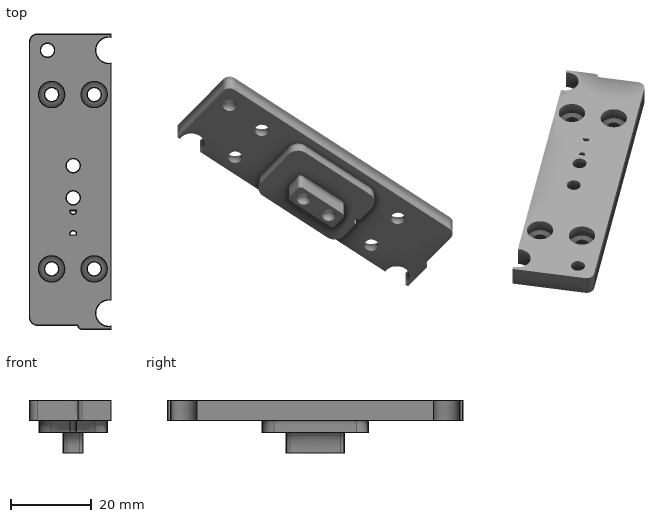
import cadquery as cq

plate_width = 20.2
plate_length = 73.1
plate_thickness = 5.0
plate_corner_radius = 2.0
middle_y = plate_length / 2

front_step = 1.0
step_x = 12.0

notch_diameter = 6.5
notch_center_x = 19.7
notch_inset_y = 4.0

hole_diameter = 3.4
counterbore_diameter = 6.5
counterbore_depth = 3.0
screw_columns = (5.5, 16.0)
screw_inset_y = 15.0
corner_hole_x = 4.45

overall_height = 13.0
stack_x = 10.8
pad_width = 16.9
pad_length = 26.3
pad_thickness = 3.0
pad_corner_radius = 3.0
key_width = 5.0
key_length = 14.4
key_height = overall_height - plate_thickness - pad_thickness
key_corner_radius = 0.95
key_hole_spacing = 8.0

slot_width = 1.6
slot_depth = 1.0
rear_slot_flat_y = 29.5
front_slot_flat_y = middle_y - pad_length / 2


def make_plate():
    """Plate with a stepped front edge and rounded left corners."""
    body = (
        cq.Workplane("XY")
        .moveTo(0, front_step)
        .lineTo(step_x, front_step)
        .radiusArc((step_x + front_step, 0), -front_step)
        .lineTo(plate_width, 0)
        .lineTo(plate_width, plate_length)
        .lineTo(0, plate_length)
        .close()
        .extrude(plate_thickness)
    )
    return body.edges("|Z and <X").fillet(plate_corner_radius)


def make_block(width, length, height, top_z, corner_radius):
    """Rounded block hanging down from top_z, centred on the stack."""
    return (
        cq.Workplane("XY", origin=(stack_x, middle_y, top_z))
        .rect(width, length)
        .extrude(-height)
        .edges("|Z")
        .fillet(corner_radius)
    )


def make_notch(center_y):
    """Round cutter that breaks out through the right edge."""
    return (
        cq.Workplane("XY")
        .center(notch_center_x, center_y)
        .circle(notch_diameter / 2)
        .extrude(plate_thickness)
    )


def make_slot(flat_y, direction):
    """D-shaped cutter through plate and pad, rounded toward +Y or -Y."""
    radius = slot_width / 2
    shoulder_y = flat_y + direction * (slot_depth - radius)
    return (
        cq.Workplane("XY", origin=(stack_x, 0, -pad_thickness))
        .moveTo(-radius, flat_y)
        .lineTo(-radius, shoulder_y)
        .threePointArc((0, flat_y + direction * slot_depth), (radius, shoulder_y))
        .lineTo(radius, flat_y)
        .close()
        .extrude(pad_thickness + plate_thickness)
    )


pad = make_block(pad_width, pad_length, pad_thickness, 0, pad_corner_radius)
key = make_block(key_width, key_length, key_height, -pad_thickness, key_corner_radius)
result = make_plate().union(pad).union(key)

for notch_y in (notch_inset_y, plate_length - notch_inset_y):
    result = result.cut(make_notch(notch_y))

result = result.cut(make_slot(front_slot_flat_y, 1))
result = result.cut(make_slot(rear_slot_flat_y, -1))

screw_points = [
    (x, y)
    for x in screw_columns
    for y in (screw_inset_y, plate_length - screw_inset_y)
]
plain_hole_points = [
    (corner_hole_x, plate_length - notch_inset_y),
    (stack_x, middle_y - key_hole_spacing / 2),
    (stack_x, middle_y + key_hole_spacing / 2),
]
top_face = cq.Workplane("XY", origin=(0, 0, plate_thickness))
holes = top_face.pushPoints(screw_points + plain_hole_points).circle(hole_diameter / 2).extrude(-overall_height)
counterbores = top_face.pushPoints(screw_points).circle(counterbore_diameter / 2).extrude(-counterbore_depth)
result = result.cut(holes).cut(counterbores)